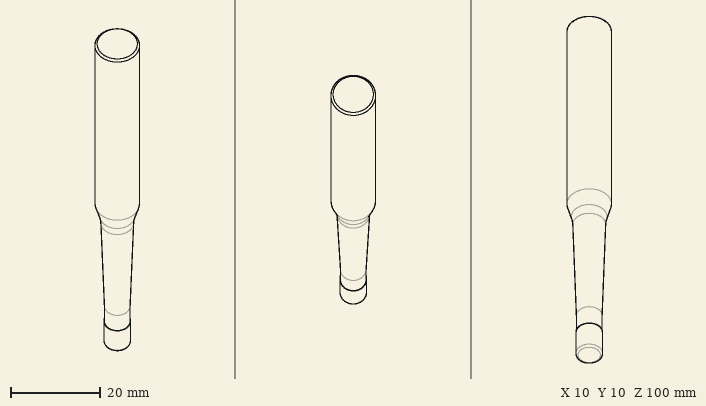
import cadquery as cq

total_length = 100.0
cutting_length = 7.0
neck_cylinder_top = 12.1
neck_cone_top = 40.1
blend_top = 42.5
shank_bottom = 46.4

shank_radius = 5.0
cutter_radius = 3.0
neck_radius = 2.9
neck_cone_top_radius = 3.7
blend_top_radius = 4.0

tip_corner_radius = 0.5
shank_chamfer = 0.5


def make_cutting_head():
    """Cylindrical cutting end with a rounded corner at the tip."""
    head = cq.Workplane("XY").circle(cutter_radius).extrude(cutting_length)
    return head.faces("<Z").edges().fillet(tip_corner_radius)


def make_holder():
    """Revolved neck, concave blend, transition cone and chamfered shank."""
    half_profile = (
        cq.Workplane("XZ")
        .moveTo(0, cutting_length)
        .lineTo(neck_radius, cutting_length)
        .lineTo(neck_radius, neck_cylinder_top)
        .lineTo(neck_cone_top_radius, neck_cone_top)
        .tangentArcPoint((blend_top_radius, blend_top), relative=False)
        .lineTo(shank_radius, shank_bottom)
        .lineTo(shank_radius, total_length - shank_chamfer)
        .lineTo(shank_radius - shank_chamfer, total_length)
        .lineTo(0, total_length)
        .close()
    )
    return half_profile.revolve(360, (0, 0, 0), (0, 1, 0))


cutting_head = make_cutting_head()
holder = make_holder()

result = cq.Compound.makeCompound([cutting_head.val(), holder.val()])